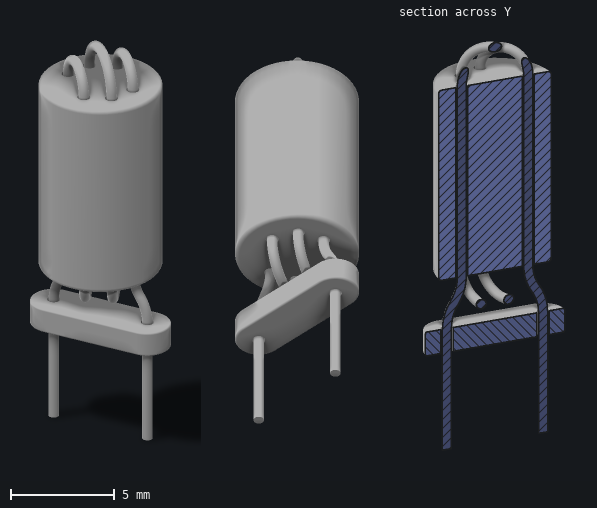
import cadquery as cq
import math

bead_diameter = 6.0
bead_height = 10.0
bead_edge_radius = 0.2
wire_diameter = 0.5
hole_diameter = 0.63
hole_circle_radius = 1.75
lead_pitch = 5.08
lead_length = 5.08
base_length = 7.38
base_height = 1.27
base_edge_radius = 0.1
bead_gap = 2.55

base_bottom = lead_length
base_top = base_bottom + base_height
bead_bottom = base_top + bead_gap
bead_top = bead_bottom + bead_height

hole_angles = [180, 270, 135, 315, 90, 0]
hole_points = [
    (
        hole_circle_radius * math.cos(math.radians(angle)),
        hole_circle_radius * math.sin(math.radians(angle)),
    )
    for angle in hole_angles
]
lead_points = [(-lead_pitch / 2, 0), (lead_pitch / 2, 0)]


def make_bead():
    """Upright cylinder with rounded rims and six through holes."""
    bead = cq.Workplane("XY", origin=(0, 0, bead_bottom)).circle(bead_diameter / 2).extrude(bead_height)
    bead = bead.faces("<Z or >Z").edges().fillet(bead_edge_radius)
    return bead.faces(">Z").workplane().pushPoints(hole_points).hole(hole_diameter)


def make_base():
    """Slot-shaped plate with rounded rims and a through hole for each lead."""
    base_width = base_length - lead_pitch
    base = cq.Workplane("XY", origin=(0, 0, base_bottom)).slot2D(base_length, base_width).extrude(base_height)
    base = base.faces("<Z or >Z").edges().fillet(base_edge_radius)
    return base.faces(">Z").workplane().pushPoints(lead_points).hole(hole_diameter)


def point_at(point, height):
    return cq.Vector(point[0], point[1], height)


def loop_edge(start, end, height, direction):
    """Semicircle between two holes, bulging up (direction 1) or down (direction -1)."""
    radius = math.dist(start, end) / 2
    middle = ((start[0] + end[0]) / 2, (start[1] + end[1]) / 2)
    crest = point_at(middle, height + direction * radius)
    return cq.Edge.makeThreePointArc(point_at(start, height), crest, point_at(end, height))


def bend_edges(start, end):
    """Two equal, opposite arcs between a lead and its bead hole, vertical at both ends."""
    middle = (start + end) * 0.5
    vertical = cq.Vector(0, 0, math.copysign(1, end.z - start.z))
    first_arc = cq.Edge.makeTangentArc(start, vertical, middle)
    second_arc = cq.Edge.makeTangentArc(middle, first_arc.tangentAt(1), end)
    return [first_arc, second_arc]


def make_wire():
    """One round wire: up a lead, back and forth through the bead, down the other lead."""
    first_lead, last_lead = lead_points
    edges = [cq.Edge.makeLine(point_at(first_lead, 0), point_at(first_lead, base_top))]
    edges += bend_edges(point_at(first_lead, base_top), point_at(hole_points[0], bead_bottom))
    for index, hole in enumerate(hole_points):
        going_up = index % 2 == 0
        start, end = (bead_bottom, bead_top) if going_up else (bead_top, bead_bottom)
        edges.append(cq.Edge.makeLine(point_at(hole, start), point_at(hole, end)))
        if index < len(hole_points) - 1:
            direction = 1 if going_up else -1
            edges.append(loop_edge(hole, hole_points[index + 1], end, direction))
    edges += bend_edges(point_at(hole_points[-1], bead_bottom), point_at(last_lead, base_top))
    edges.append(cq.Edge.makeLine(point_at(last_lead, base_top), point_at(last_lead, 0)))
    path = cq.Wire.assembleEdges(edges)
    return cq.Workplane("XY").center(*first_lead).circle(wire_diameter / 2).sweep(path)


bead = make_bead()
base = make_base()
wire = make_wire()

result = cq.Compound.makeCompound([bead.val(), base.val(), wire.val()])